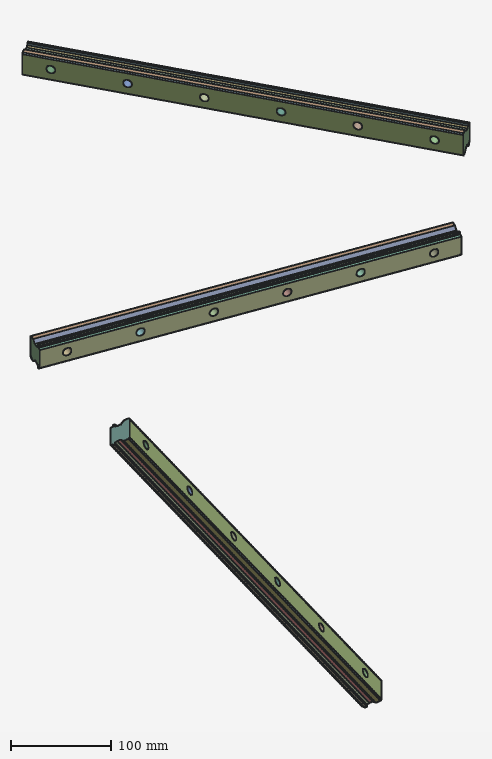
import cadquery as cq

length = 460.0
depth = 23.0
height = 28.0

base_chamfer = 1.5
base_flange = 7.0
groove_depth = 3.5
base_slope = 3.5
groove_floor = 4.0
head_slope = 2.8
head_step = 2.8
shoulder_width = 2.8
shoulder_step = 2.0
shoulder_drop = 1.0

hole_count = 6
hole_pitch = 80.0
hole_diameter = 9.0

base_y = -depth / 2
head_y = depth / 2
half_height = height / 2
floor_z = half_height - groove_depth

groove_start = base_y + base_flange
floor_start = groove_start + base_slope
floor_end = floor_start + groove_floor
groove_end = floor_end + head_slope
shoulder_start = head_y - shoulder_width

upper_outline = [
    (base_y, half_height - base_chamfer),
    (base_y + base_chamfer, half_height),
    (groove_start, half_height),
    (floor_start, floor_z),
    (floor_end, floor_z),
    (groove_end, half_height - head_step),
    (groove_end, half_height),
    (shoulder_start, half_height),
    (shoulder_start, half_height - shoulder_step),
    (head_y, half_height - shoulder_step - shoulder_drop),
]
lower_outline = [(y, -z) for y, z in reversed(upper_outline)]

rail = (
    cq.Workplane("YZ")
    .polyline(upper_outline + lower_outline)
    .close()
    .extrude(length / 2, both=True)
)

holes = (
    cq.Workplane("XZ")
    .rarray(hole_pitch, 4.5, hole_count, 1)
    .circle(hole_diameter / 2)
    .extrude(depth, both=True)
)

result = rail.cut(holes)